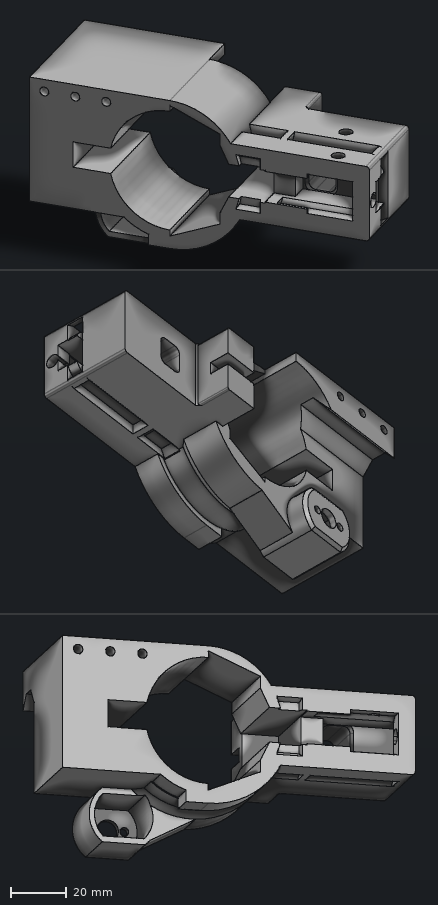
import cadquery as cq
import math


left_x = -54.8
right_x = 77.8
top_z = 28.0
body_depth = 38.6
full_depth = 53.5
block_bottom_z = -21.5
overlap = 1.3

ring_radius = top_z
strap_radius = 28.4
rim_radius = 31.0
bore_radius = 23.6
bore_slot_end_x = -37.7
bore_slot_half = 5.0
facet_top_z = 26.0
facet_right_x = 19.5
facet_shoulder_z = 17.9
facet_wall_end_z = 13.5
facet_mouth_x = 23.0
lug_left_x = -8.4
lug_depth = 10.9
cone_start_y = 20.3
cone_end_y = 23.2

arm_left_x = 23.5
arm_half = 14.9
arm_edge_radius = 1.3
tab_right_x = 37.9
tab_corner_chamfer = 0.7
tab_edge_radius = 0.9
tab_notch_half = 2.7
tab_notch_z = -0.3
tab_notch_y = 45.2
tab_notch_step_y = 43.1
tab_notch_step_right_x = 26.5

mouth_half = 6.5
mouth_right_x = 37.1
cavity_half = 6.1
divider_right_x = 45.5
divider_y = 8.6
cavity_floor_y = 15.9
slide_half = 7.8
slide_left_x = 41.5
slide_open_x = 53.5
slide_right_x = 71.3
slide_lip = 1.0
slide_depth = 4.6
end_hole_radius = 2.8
end_hole_y = 4.0
end_wall_depth = 6.6
window_left_x = 47.5
window_right_x = 58.0
window_corner = 2.7
window_chamfer = 1.0
catch_left_x = 25.7
catch_right_x = 35.3
catch_outer_z = 10.9
catch_inner_x = 27.0
catch_depth = 2.1
catch_inset = 0.7

groove_front_y = 11.1
groove_depth = 4.4
groove_back_y = 15.4
groove_outer_y = 18.3
groove_bridge = (38.7, 41.4)
groove_turn_x = 71.2
groove_turn_radius = 6.6
groove_turn_clearance = 4.8
groove_wall_right_x = 74.0
shelf_rise = 0.9
shelf_right_x = 34.9
shelf_ramp_x = 36.5

arm_screw_radius = 2.5
arm_screw_tip_radius = 2.0
arm_screws = ((58.6, 25.0, 6.6), (63.6, 5.0, 7.7))

channel_front_z = 12.7
channel_roof_z = 18.4
channel_rear_z = 13.3
channel_roof_y = (43.1, 48.9)

pin_radius = 1.7
pin_z = 23.2
pin_first_x = -48.9
pin_pitch = 12.0
pin_count = 3

mount_x = -25.3
mount_half = 10.2
mount_z = block_bottom_z - mount_half
mount_radius = 13.0
mount_rear_y = 47.3
mount_chamfer = 1.3
web_corner_offset = 10.0
web_right_x = 1.6
pocket_radius = 11.0
pocket_half = 8.0
mount_floor = 2.7
shaft_radius = 4.0
mount_screw_radius = 1.6
mount_screw_offset = 6.2


def box(x0, x1, y0, y1, z0, z1):
    return cq.Workplane("XY").box(x1 - x0, y1 - y0, z1 - z0, centered=False).translate((x0, y0, z0))


def from_front(y):
    """Sketch plane in X and Z at depth y; extrude a negative length to go deeper."""
    return cq.Workplane("XZ", origin=(0, y, 0))


def cylinder(x, z, radius, y0, y1):
    return from_front(y0).center(x, z).circle(radius).extrude(y0 - y1)


def flatted_disc(radius, half, y0, y1):
    """Disc at the motor axis with flats above and below."""
    disc = cylinder(mount_x, mount_z, radius, y0, y1)
    flats = box(mount_x - radius, mount_x + radius, y0, y1, mount_z - half, mount_z + half)
    return disc.intersect(flats)


def make_block():
    top = box(left_x, 0, 0, full_depth, channel_front_z, top_z)
    body = box(left_x, 0, 0, body_depth, block_bottom_z, top_z)
    channel = (
        cq.Workplane("YZ", origin=(left_x, 0, 0))
        .moveTo(body_depth, channel_front_z)
        .lineTo(channel_roof_y[0], channel_roof_z)
        .lineTo(channel_roof_y[1], channel_roof_z)
        .lineTo(full_depth, channel_rear_z)
        .lineTo(full_depth, channel_front_z)
        .close()
        .extrude(-left_x)
    )
    return top.cut(channel).union(body)


def make_ring():
    ring = cylinder(0, 0, ring_radius, 0, body_depth)
    lower_half = box(-rim_radius, rim_radius, 0, body_depth, -rim_radius, 0)
    rim = cylinder(0, 0, rim_radius, cone_end_y, body_depth)
    strap_floor = cylinder(0, 0, strap_radius, lug_depth, cone_start_y)
    cone = (
        from_front(cone_start_y)
        .circle(strap_radius)
        .workplane(offset=cone_start_y - cone_end_y)
        .circle(rim_radius)
        .loft()
    )
    lug = cylinder(0, 0, rim_radius, 0, lug_depth)
    lug = lug.intersect(box(0, rim_radius, 0, lug_depth, -rim_radius, 0))
    lug = lug.union(box(lug_left_x, 0, 0, lug_depth, -rim_radius, 0))
    return ring.union(rim.union(cone).union(strap_floor).intersect(lower_half)).union(lug)


def make_arm():
    outline = (
        cq.Workplane("XY", origin=(0, 0, -arm_half))
        .moveTo(arm_left_x, 0)
        .lineTo(right_x, 0)
        .lineTo(right_x, body_depth)
        .lineTo(tab_right_x + tab_corner_chamfer, body_depth)
        .lineTo(tab_right_x, body_depth + tab_corner_chamfer)
        .lineTo(tab_right_x, full_depth)
        .lineTo(arm_left_x, full_depth)
        .close()
    )
    arm = outline.extrude(2 * arm_half)
    arm = arm.edges("|Y and >X").fillet(arm_edge_radius)
    tab_edges = cq.selectors.BoxSelector(
        (tab_right_x - overlap, body_depth + overlap, -arm_half - overlap),
        (tab_right_x + overlap, full_depth + overlap, arm_half + overlap),
    )
    return arm.edges("|Y").edges(tab_edges).fillet(tab_edge_radius)


def cut_tab_notch(part):
    z0 = tab_notch_z - tab_notch_half
    z1 = tab_notch_z + tab_notch_half
    notch = box(arm_left_x, tab_right_x, tab_notch_y, full_depth, z0, z1)
    step = box(arm_left_x, tab_notch_step_right_x, tab_notch_step_y, full_depth, z0, z1)
    return part.cut(notch).cut(step)


def make_mount():
    mount = flatted_disc(mount_radius, mount_half, cone_end_y, mount_rear_y)
    mount = mount.faces(">Y").chamfer(mount_chamfer)
    corner_drop = math.sqrt(mount_radius**2 - web_corner_offset**2)
    web = (
        from_front(cone_end_y)
        .moveTo(mount_x, mount_z)
        .lineTo(mount_x + web_corner_offset, mount_z - corner_drop)
        .lineTo(web_right_x, -rim_radius)
        .lineTo(0, -ring_radius)
        .lineTo(mount_x, block_bottom_z)
        .close()
        .extrude(cone_end_y - body_depth)
    )
    return mount.union(web)


def cut_mount(part):
    floor_y = mount_rear_y - mount_floor
    part = part.cut(flatted_disc(pocket_radius, pocket_half, cone_start_y, floor_y))
    part = part.cut(cylinder(mount_x, mount_z, shaft_radius, cone_start_y, mount_rear_y))
    for side in (-1, 1):
        x = mount_x + side * mount_screw_offset
        part = part.cut(cylinder(x, mount_z, mount_screw_radius, cone_start_y, mount_rear_y))
    return part


def make_bore():
    """Half-round bore with a faceted right side and a slot on the left."""
    upper_facets = [
        (0, facet_top_z),
        (facet_right_x, facet_shoulder_z),
        (facet_right_x, facet_wall_end_z),
        (facet_mouth_x, mouth_half),
        (arm_left_x, mouth_half),
    ]
    lower_facets = [(x, -z) for x, z in reversed(upper_facets)]
    bore = (
        from_front(0)
        .moveTo(0, -bore_radius)
        .threePointArc((-bore_radius, 0), (0, bore_radius))
        .polyline(upper_facets + lower_facets, includeCurrent=True)
        .close()
        .extrude(-full_depth)
    )
    slot = box(bore_slot_end_x, 0, 0, full_depth, -bore_slot_half, bore_slot_half)
    return bore.union(slot)


def cut_block_pins(part):
    for i in range(pin_count):
        part = part.cut(cylinder(pin_first_x + i * pin_pitch, pin_z, pin_radius, 0, full_depth))
    return part


def make_groove_core(offset):
    """Outline the belt lies on, grown outward by offset."""
    half = arm_half - groove_depth + offset
    radius = groove_turn_radius + offset
    middle = half - radius
    x = groove_turn_x
    diagonal = radius * math.sqrt(0.5)
    return (
        cq.Sketch()
        .segment((arm_left_x, half), (x, half))
        .arc((x, half), (x + diagonal, middle + diagonal), (x + radius, middle))
        .segment((x + radius, -middle))
        .arc((x + radius, -middle), (x + diagonal, -middle - diagonal), (x, -half))
        .segment((arm_left_x, -half))
        .close()
        .assemble()
    )


def make_groove_wall():
    """Leaning rear wall of the straight part of the groove."""
    floor_z = arm_half - groove_depth
    return (
        cq.Workplane("YZ", origin=(arm_left_x, 0, 0))
        .moveTo(groove_back_y, -floor_z)
        .lineTo(groove_back_y, floor_z)
        .lineTo(groove_outer_y, arm_half)
        .lineTo(groove_outer_y, -arm_half)
        .close()
        .extrude(groove_wall_right_x - arm_left_x)
    )


def make_groove_shelf():
    """Raised floor next to the ring, ramping down to the rest of the groove."""
    floor_z = arm_half - groove_depth
    return (
        from_front(groove_front_y)
        .moveTo(arm_left_x, floor_z + shelf_rise)
        .lineTo(shelf_right_x, floor_z + shelf_rise)
        .lineTo(shelf_ramp_x, floor_z)
        .lineTo(shelf_ramp_x, -floor_z)
        .lineTo(shelf_right_x, -floor_z - shelf_rise)
        .lineTo(arm_left_x, -floor_z - shelf_rise)
        .close()
        .extrude(groove_front_y - groove_outer_y)
    )


def cut_belt_groove(part):
    outer = from_front(groove_front_y).placeSketch(make_groove_core(groove_turn_clearance))
    belt = outer.extrude(groove_front_y - groove_outer_y)
    core = from_front(groove_front_y).placeSketch(make_groove_core(0))
    core = core.extrude(groove_front_y - groove_back_y)
    belt = belt.cut(core).cut(make_groove_wall()).cut(make_groove_shelf())
    belt = belt.cut(cylinder(0, 0, ring_radius, 0, body_depth))
    belt = belt.cut(box(*groove_bridge, 0, body_depth, -arm_half - overlap, arm_half + overlap))
    return part.cut(belt)


def make_slide():
    """Undercut seat behind the front lip, narrowing at 45 degrees to the cavity."""
    taper = slide_half - cavity_half
    seat = (
        cq.Workplane("YZ", origin=(slide_left_x, 0, 0))
        .moveTo(slide_lip, -slide_half)
        .lineTo(slide_depth, -slide_half)
        .lineTo(slide_depth + taper, -cavity_half)
        .lineTo(slide_depth + taper, cavity_half)
        .lineTo(slide_depth, slide_half)
        .lineTo(slide_lip, slide_half)
        .close()
        .extrude(slide_right_x - slide_left_x)
    )
    return seat.union(box(slide_open_x, slide_right_x, 0, slide_lip, -slide_half, slide_half))


def cut_arm_cavity(part):
    part = part.cut(box(arm_left_x, mouth_right_x, 0, body_depth, -mouth_half, mouth_half))
    part = part.cut(box(mouth_right_x, slide_right_x, 0, divider_y, -cavity_half, cavity_half))
    part = part.cut(
        box(divider_right_x, slide_right_x, divider_y, cavity_floor_y, -cavity_half, cavity_half)
    )
    end_exit = box(slide_right_x, right_x, end_wall_depth, cavity_floor_y, -cavity_half, cavity_half)
    end_hole = (
        cq.Workplane("YZ", origin=(slide_right_x, end_hole_y, 0))
        .circle(end_hole_radius)
        .extrude(right_x - slide_right_x)
    )
    return part.cut(end_exit).cut(end_hole).cut(make_slide())


def cut_window(part):
    """Rounded opening from the cavity floor to the rear, with a chamfered front edge."""
    width = window_right_x - window_left_x
    middle_x = (window_left_x + window_right_x) / 2
    window = (
        from_front(cavity_floor_y)
        .center(middle_x, 0)
        .rect(width, 2 * cavity_half)
        .extrude(cavity_floor_y - body_depth)
        .edges("|Y")
        .fillet(window_corner)
    )
    rim = cq.Sketch().rect(width, 2 * cavity_half).vertices().fillet(window_corner)
    flare = (
        from_front(cavity_floor_y + window_chamfer)
        .center(middle_x, 0)
        .placeSketch(rim)
        .extrude(window_chamfer, taper=-45)
    )
    return part.cut(window).cut(flare)


def draw_catch(plane, side, inset):
    """Outline of a catch pocket; side is 1 above the mouth and -1 below it."""
    outer_z = side * (catch_outer_z - 2 * inset)
    return (
        plane.moveTo(catch_left_x + inset, outer_z)
        .lineTo(catch_right_x - inset, outer_z)
        .lineTo(catch_right_x - inset, 0)
        .lineTo(catch_inner_x, 0)
        .lineTo(catch_inner_x, side * mouth_half)
        .close()
    )


def cut_catches(part):
    """Two catch pockets, above and below the mouth, shrinking toward their floor."""
    for side in (-1, 1):
        front = draw_catch(from_front(0), side, 0)
        catch = draw_catch(front.workplane(offset=-catch_depth), side, catch_inset)
        part = part.cut(catch.loft(ruled=True))
    return part


def cut_arm_screws(part):
    for x, y, z in arm_screws:
        tip = cq.Workplane("XY", origin=(x, y, z)).circle(arm_screw_tip_radius)
        hole = tip.workplane(offset=arm_half - z).circle(arm_screw_radius).loft()
        part = part.cut(hole)
    return part


result = make_block().union(make_ring()).union(make_arm()).union(make_mount())
result = result.cut(make_bore())
result = cut_tab_notch(result)
result = cut_mount(result)
result = cut_block_pins(result)
result = cut_belt_groove(result)
result = cut_arm_cavity(result)
result = cut_window(result)
result = cut_catches(result)
result = cut_arm_screws(result)